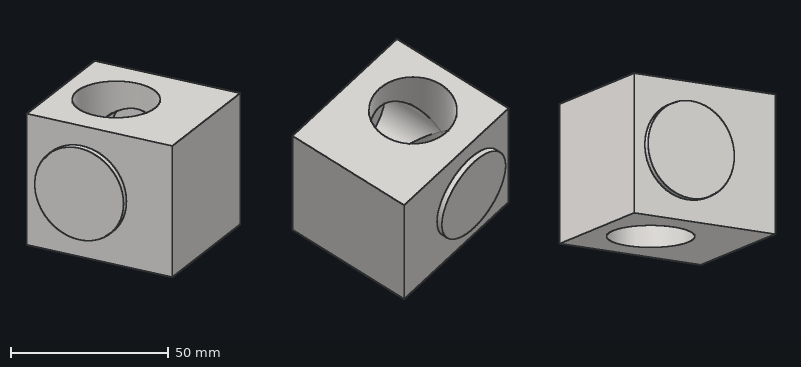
import cadquery as cq

block_length = 52.5
block_side = 45.9
bore_diameter = 28.0
bore_from_left_face = 20.0
cap_diameter = 32.0
cap_thickness = 2.0

block_center_x = block_length / 2 - bore_from_left_face
half_side = block_side / 2


def make_block():
    """Rectangular body, offset in X from the bore axes."""
    return cq.Workplane("XY").box(block_length, block_side, block_side).translate((block_center_x, 0, 0))


def cylinder_along(plane, diameter, length):
    """Cylinder centered on the origin, with its axis normal to the given plane."""
    return cq.Workplane(plane).workplane(offset=-length / 2).circle(diameter / 2).extrude(length)


def make_cap(side):
    """Disc closing the cross bore on the +Y (side = 1) or -Y (side = -1) face."""
    cap = cylinder_along("XZ", cap_diameter, cap_thickness)
    return cap.translate((0, side * (half_side + cap_thickness / 2), 0))


body = make_block()
for bore_plane in ("XY", "XZ"):
    body = body.cut(cylinder_along(bore_plane, bore_diameter, block_side))

for side in (-1, 1):
    body = body.union(make_cap(side))

result = body